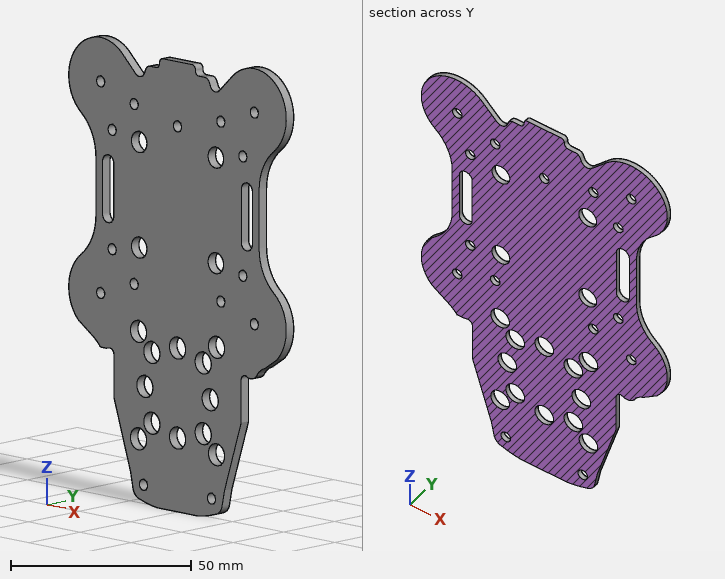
import cadquery as cq
import math

height = 130.1
thickness = 3.0
top_z = height / 2
bottom_z = -height / 2

lobe_radius = 12.5
lobe_x = 85.0 / 2 - lobe_radius
upper_lobe_z = top_z - lobe_radius
lobe_pitch = 60.0
lobe_start_angle = 132
lobe_middle_angle = 45
lobe_end_angle = -45
lower_lobe_z = upper_lobe_z - lobe_pitch
frame_z = (upper_lobe_z + lower_lobe_z) / 2

waist_x = 31.9
blend_radius = 15.0
blend_x = waist_x + blend_radius
blend_drop = math.sqrt((lobe_radius + blend_radius) ** 2 - (blend_x - lobe_x) ** 2)

head_half_width = 6.0
head_z = 62.6
step_z = 59.7
tail_x = 24.8
taper_start_z = -36.2
tail_end_half_width = 8.0
step_inner_x = 8.2
step_outer_x = 10.8
neck_end_z = -24.0

head_corner_middle = (6.8, 62.0)
head_corner_end = (7.0, 61.0)
step_middle = (7.4, 60.1)
shoulder_middle = (11.8, 59.3)
shoulder_end = (12.5, 58.4)
notch_start = (13.0, 57.2)
notch_bottom = (14.6, 56.2)
notch_end = (16.4, 56.9)
neck_start = (26.4, -22.5)
neck_middle = (25.4, -22.9)
taper_end = (18.3, -56.3)
tail_corner_start = (17.4, -60.8)
tail_corner_middle = (16.5, -62.6)
tail_corner_end = (14.7, -63.6)
tail_edge_middle = (11.3, -64.5)

small_diameter = 3.1
mount_diameter = 6.0
large_diameter = 6.2
slot_length = 19.3
slot_width = 4.3
slot_x = 27.0
head_hole_z = 44.2
tail_hole_x = 13.3
tail_hole_z = -59.3
mount_half_pitch = 15.0
mount_top_z = 37.6
inner_pattern_x = 16.9
inner_pattern_z = 25.5
ring_z = -31.4
ring_radius = 12.7
ring_inner_offset = 10.0
ring_outer_offset = 15.2

left_underside = [
    ((34.1, -19.4),),
    ((32.0, -20.8), (30.0, -22.8)),
    ((27.8, -22.8),),
]
right_underside = [
    ((34.1, -19.4),),
    ((32.5, -20.2), (31.2, -21.5)),
    ((29.7, -22.9), (27.7, -23.0)),
]


def lobe_point(lobe_z, angle):
    """Point on a lobe rim; the angle is in degrees, up from the outward X direction."""
    a = math.radians(angle)
    return lobe_x + lobe_radius * math.cos(a), lobe_z + lobe_radius * math.sin(a)


def plate_half(side, underside):
    """Half of the plate; side is -1 for left (-X) and 1 for right (+X)."""

    def at(point):
        return side * point[0], point[1]

    touch_angle = math.degrees(math.atan2(blend_drop, blend_x - lobe_x))
    blend_a = math.radians(touch_angle / 2)
    blend_middle_x = blend_x - blend_radius * math.cos(blend_a)
    blend_rise = blend_radius * math.sin(blend_a)
    upper_blend_z = upper_lobe_z - blend_drop
    lower_blend_z = lower_lobe_z + blend_drop

    outline = (
        cq.Workplane("XZ")
        .moveTo(0, head_z)
        .lineTo(*at((head_half_width, head_z)))
        .threePointArc(at(head_corner_middle), at(head_corner_end))
        .threePointArc(at(step_middle), at((step_inner_x, step_z)))
        .lineTo(*at((step_outer_x, step_z)))
        .threePointArc(at(shoulder_middle), at(shoulder_end))
        .lineTo(*at(notch_start))
        .threePointArc(at(notch_bottom), at(notch_end))
        .lineTo(*at(lobe_point(upper_lobe_z, lobe_start_angle)))
        .threePointArc(
            at(lobe_point(upper_lobe_z, lobe_middle_angle)),
            at(lobe_point(upper_lobe_z, -touch_angle)),
        )
        .threePointArc(at((blend_middle_x, upper_blend_z + blend_rise)), at((waist_x, upper_blend_z)))
        .lineTo(*at((waist_x, lower_blend_z)))
        .threePointArc(
            at((blend_middle_x, lower_blend_z - blend_rise)),
            at(lobe_point(lower_lobe_z, touch_angle)),
        )
        .threePointArc(
            at(lobe_point(lower_lobe_z, 0)),
            at(lobe_point(lower_lobe_z, lobe_end_angle)),
        )
    )
    for points in underside:
        if len(points) == 1:
            outline = outline.lineTo(*at(points[0]))
        else:
            outline = outline.threePointArc(at(points[0]), at(points[1]))
    outline = (
        outline.lineTo(*at(neck_start))
        .threePointArc(at(neck_middle), at((tail_x, neck_end_z)))
        .lineTo(*at((tail_x, taper_start_z)))
        .lineTo(*at(taper_end))
        .lineTo(*at(tail_corner_start))
        .threePointArc(at(tail_corner_middle), at(tail_corner_end))
        .threePointArc(at(tail_edge_middle), at((tail_end_half_width, bottom_z)))
        .lineTo(0, bottom_z)
        .close()
    )
    return outline.extrude(thickness / 2, both=True)


def drill(body, points, diameter):
    holes = cq.Workplane("XZ").pushPoints(points).circle(diameter / 2).extrude(thickness, both=True)
    return body.cut(holes)


def mirrored_pairs(x, heights):
    return [(side * x, z) for side in (-1, 1) for z in heights]


plate = plate_half(-1, left_underside).union(plate_half(1, right_underside)).clean()

small_points = [(0, head_hole_z)]
small_points += mirrored_pairs(lobe_x, (upper_lobe_z, lower_lobe_z))
small_points += mirrored_pairs(inner_pattern_x, (frame_z - inner_pattern_z, frame_z + inner_pattern_z))
small_points += mirrored_pairs(inner_pattern_z, (frame_z - inner_pattern_x, frame_z + inner_pattern_x))
small_points += mirrored_pairs(tail_hole_x, (tail_hole_z,))
plate = drill(plate, small_points, small_diameter)

mount_points = mirrored_pairs(mount_half_pitch, (mount_top_z, mount_top_z - 2 * mount_half_pitch))
plate = drill(plate, mount_points, mount_diameter)

large_points = [(0, ring_z - ring_radius), (0, ring_z + ring_radius)]
large_points += mirrored_pairs(ring_radius, (ring_z,))
for offset in (ring_inner_offset, ring_outer_offset):
    large_points += mirrored_pairs(offset, (ring_z - offset, ring_z + offset))
plate = drill(plate, large_points, large_diameter)

slots = (
    cq.Workplane("XZ")
    .pushPoints(mirrored_pairs(slot_x, (frame_z,)))
    .slot2D(slot_length, slot_width, 90)
    .extrude(thickness, both=True)
)
result = plate.cut(slots)